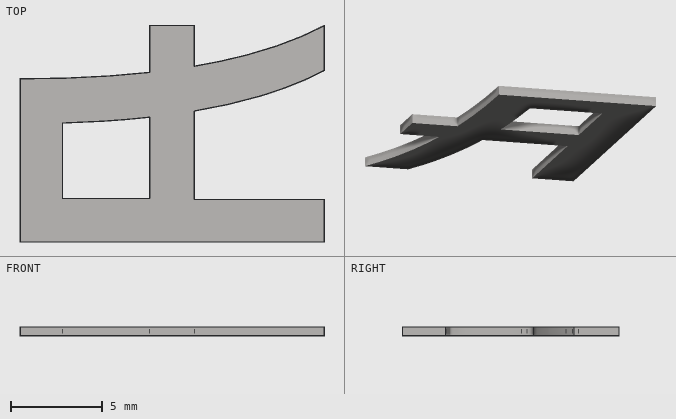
import cadquery as cq

length = 16.63
height = 11.84
thickness = 0.5

left_bar_width = 2.33
post_left = 7.08
post_right = 9.53
foot_height = 2.35
window_floor = 2.4

arm_start_height = 8.93
arm_depth = 2.46
arm_bend_x = 11.18


def bar(x_min, x_max, y_min, y_max):
    """Rectangular bar of the plate, standing on Z = 0."""
    return (
        cq.Workplane("XY")
        .moveTo(x_min, y_min)
        .lineTo(x_max, y_min)
        .lineTo(x_max, y_max)
        .lineTo(x_min, y_max)
        .close()
        .extrude(thickness)
    )


def curved_arm():
    """Band of constant vertical depth between two equal quadratic curves."""
    lower_start = arm_start_height - arm_depth
    lower_end = height - arm_depth
    return (
        cq.Workplane("XY")
        .moveTo(0, lower_start)
        .bezier([(0, lower_start), (arm_bend_x, lower_start), (length, lower_end)])
        .lineTo(length, height)
        .bezier([(length, height), (arm_bend_x, arm_start_height), (0, arm_start_height)])
        .close()
        .extrude(thickness)
    )


foot = bar(0, length, 0, foot_height)
left_bar = bar(0, left_bar_width, 0, arm_start_height)
post = bar(post_left, post_right, 0, height)

window_sill = bar(0, (post_left + post_right) / 2, 0, window_floor)

result = foot.union(window_sill).union(left_bar).union(post).union(curved_arm()).clean()